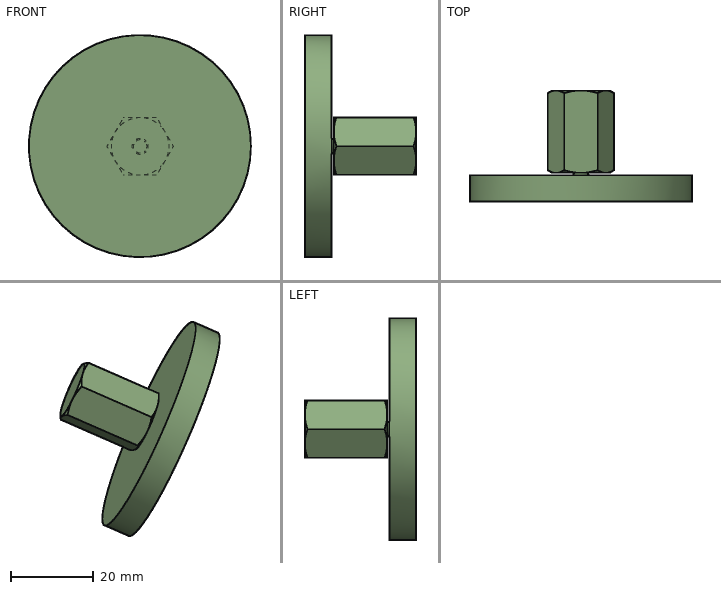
import cadquery as cq
import math

disc_diameter = 54.0
disc_thickness = 6.5
overall_depth = 27.0

neck_length = 0.55
neck_base_diameter = 3.9
neck_tip_diameter = 3.25

hex_across_flats = 14.0
hex_length = overall_depth - disc_thickness - neck_length
hex_corner_radius = hex_across_flats / math.sqrt(3)
chamfer_angle = 30.0

disc_front_y = -disc_thickness
hex_start_y = neck_length
hex_end_y = hex_start_y + hex_length


def make_disc():
    """Plain disc with its back face at Y = 0 and a short tapered neck behind it."""
    base_radius = neck_base_diameter / 2
    tip_radius = neck_tip_diameter / 2
    profile = (
        cq.Workplane("XY")
        .moveTo(0, disc_front_y)
        .lineTo(disc_diameter / 2, disc_front_y)
        .lineTo(disc_diameter / 2, 0)
        .lineTo(base_radius, 0)
        .lineTo(tip_radius, neck_length)
        .lineTo(0, neck_length)
        .close()
    )
    return profile.revolve(360, (0, 0, 0), (0, 1, 0))


def make_standoff():
    """Hexagonal bar whose corners are cut by a cone at both ends."""
    hexagon = (
        cq.Workplane("XZ", origin=(0, hex_start_y, 0))
        .polygon(6, 2 * hex_corner_radius)
        .extrude(-hex_length)
    )
    end_radius = hex_across_flats / 2
    chamfer_length = (hex_corner_radius - end_radius) * math.tan(math.radians(chamfer_angle))
    envelope = (
        cq.Workplane("XY")
        .moveTo(0, hex_start_y)
        .lineTo(end_radius, hex_start_y)
        .lineTo(hex_corner_radius, hex_start_y + chamfer_length)
        .lineTo(hex_corner_radius, hex_end_y - chamfer_length)
        .lineTo(end_radius, hex_end_y)
        .lineTo(0, hex_end_y)
        .close()
        .revolve(360, (0, 0, 0), (0, 1, 0))
    )
    return hexagon.intersect(envelope)


disc = make_disc()
standoff = make_standoff()

result = cq.Compound.makeCompound([disc.val(), standoff.val()])